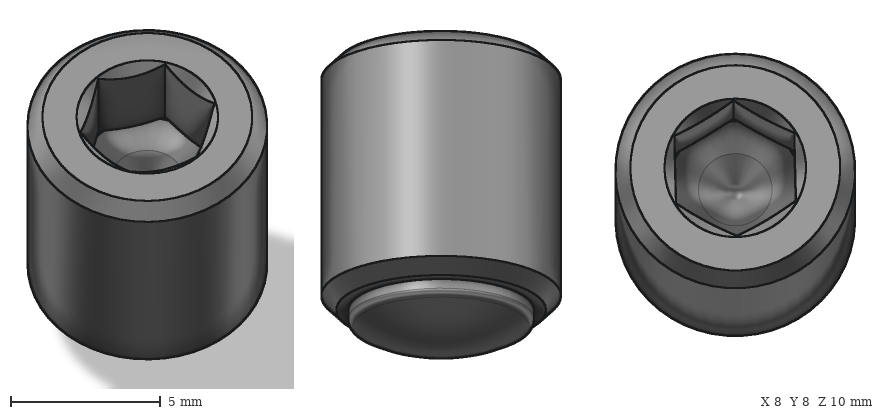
import cadquery as cq
import math

total_height = 10.0
body_diameter = 8.0
body_bottom = 1.36
body_chamfer = 0.5

pad_diameter = 6.2
dome_radius = 6.0
pad_fillet = 0.3

hex_across_flats = 4.0
hex_across_corners = hex_across_flats / math.cos(math.pi / 6)
countersink_diameter = 4.72
countersink_slope = 1.0
hex_depth = 3.0

floor_diameter = 4.44
drill_diameter = 2.46
floor_slope = 0.5
drill_point_angle = 120.0
drill_slope = 1 / math.tan(math.radians(drill_point_angle / 2))


def make_body():
    body = cq.Workplane("XY").workplane(offset=body_bottom)
    body = body.circle(body_diameter / 2).extrude(total_height - body_bottom)
    return body.faces("<Z or >Z").chamfer(body_chamfer)


def make_pad():
    """Pad ending in a spherical dome at Z = 0, its rim rounded tangent to wall and dome."""
    pad_radius = pad_diameter / 2
    pad_top = body_bottom + body_chamfer
    fillet_x = pad_radius - pad_fillet
    center_distance = dome_radius - pad_fillet
    fillet_z = dome_radius - math.sqrt(center_distance**2 - fillet_x**2)
    rim_angle = math.asin(fillet_x / center_distance)
    rim_x = dome_radius * math.sin(rim_angle)
    rim_z = dome_radius * (1 - math.cos(rim_angle))
    dome_mid_x = dome_radius * math.sin(rim_angle / 2)
    dome_mid_z = dome_radius * (1 - math.cos(rim_angle / 2))
    fillet_mid_angle = (rim_angle + math.pi / 2) / 2
    fillet_mid_x = fillet_x + pad_fillet * math.sin(fillet_mid_angle)
    fillet_mid_z = fillet_z - pad_fillet * math.cos(fillet_mid_angle)
    return (
        cq.Workplane("XZ")
        .moveTo(0, 0)
        .threePointArc((dome_mid_x, dome_mid_z), (rim_x, rim_z))
        .threePointArc((fillet_mid_x, fillet_mid_z), (pad_radius, fillet_z))
        .lineTo(pad_radius, pad_top)
        .lineTo(0, pad_top)
        .close()
        .revolve(360, (0, 0, 0), (0, 1, 0))
    )


def make_socket():
    hex_bottom = total_height - hex_depth
    hexagon = (
        cq.Workplane("XY")
        .workplane(offset=hex_bottom)
        .transformed(rotate=(0, 0, 90))
        .polygon(6, hex_across_corners)
        .extrude(hex_depth)
    )
    countersink_radius = countersink_diameter / 2
    countersink = (
        cq.Workplane("XZ")
        .moveTo(0, total_height)
        .lineTo(countersink_radius, total_height)
        .lineTo(0, total_height - countersink_radius * countersink_slope)
        .close()
        .revolve(360, (0, 0, 0), (0, 1, 0))
    )
    return hexagon.union(countersink)


def make_floor():
    """Conical recess below the hexagon, narrowing to the drill point."""
    floor_radius = floor_diameter / 2
    drill_radius = drill_diameter / 2
    floor_top = total_height - hex_depth
    drill_top = floor_top - (floor_radius - drill_radius) * floor_slope
    tip = drill_top - drill_radius * drill_slope
    cone = (
        cq.Workplane("XZ")
        .moveTo(0, floor_top)
        .lineTo(floor_radius, floor_top)
        .lineTo(drill_radius, drill_top)
        .lineTo(0, tip)
        .close()
        .revolve(360, (0, 0, 0), (0, 1, 0))
    )
    hexagon = (
        cq.Workplane("XY")
        .workplane(offset=tip)
        .transformed(rotate=(0, 0, 90))
        .polygon(6, hex_across_corners)
        .extrude(floor_top - tip)
    )
    return cone.intersect(hexagon)


result = make_body().union(make_pad()).cut(make_socket()).cut(make_floor())